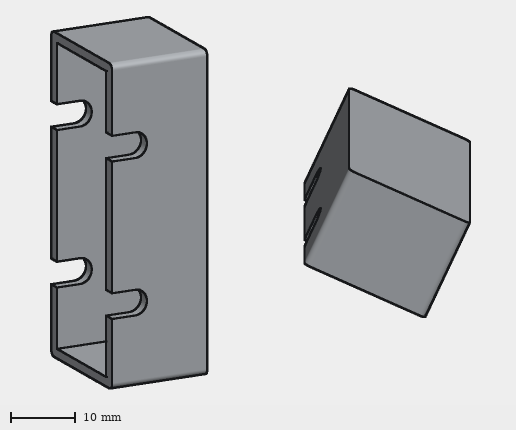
import cadquery as cq

width = 20.6
depth = 16.6
height = 52.75
corner_radius = 1.0

side_wall = 2.0
end_wall = 1.6
back_wall = 1.6

slot_width = 4.15
slot_depth = 6.05
slot_spacing = 25.5

front_y = -depth / 2


def make_shell():
    """Box with rounded long edges and a cavity open toward -Y."""
    outer = cq.Workplane("XY").box(width, depth, height).edges("|Y").fillet(corner_radius)
    cavity = cq.Workplane("XY").box(
        width - 2 * side_wall, depth, height - 2 * end_wall
    ).translate((0, -back_wall, 0))
    return outer.cut(cavity)


def make_slot(center_z):
    """Slot cutter through both side walls, with its round end toward the back."""
    radius = slot_width / 2
    straight_end_y = front_y + slot_depth - radius
    return (
        cq.Workplane("YZ")
        .moveTo(front_y, center_z - radius)
        .lineTo(straight_end_y, center_z - radius)
        .threePointArc((front_y + slot_depth, center_z), (straight_end_y, center_z + radius))
        .lineTo(front_y, center_z + radius)
        .close()
        .extrude(width / 2, both=True)
    )


result = make_shell()
for slot_z in (-slot_spacing / 2, slot_spacing / 2):
    result = result.cut(make_slot(slot_z))